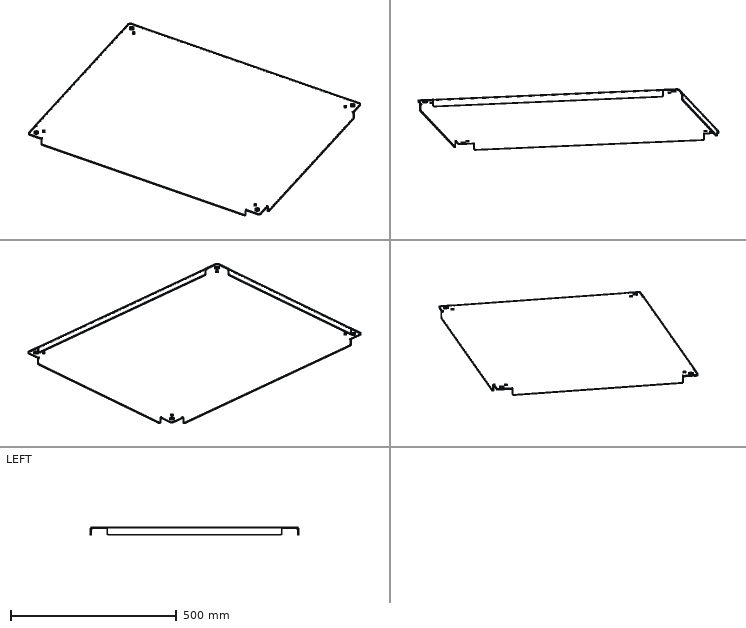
import cadquery as cq

LENGTH_X = 811.2125
WIDTH_Y = 630.2375
HEIGHT = 22.225

THICKNESS = 3.038
BEND_INNER_RADIUS = 2.85
BEND_OUTER_RADIUS = BEND_INNER_RADIUS + THICKNESS

CORNER_INSET = THICKNESS
CORNER_RADIUS = 6.7

FLANGE_END_GAP = 50.6
FLANGE_CORNER_CHAMFER = 3.0

MOUNTING_HOLE_DIAMETER = 12.7
MOUNTING_HOLE_OFFSET = 21.43
SMALL_HOLE_DIAMETER = 7.14
SMALL_HOLE_OFFSET = 38.1


def make_plate():
    """Flat sheet with rounded corners; its top face is at Z = 0."""
    return (
        cq.Workplane("XY")
        .rect(LENGTH_X - 2 * CORNER_INSET, WIDTH_Y - 2 * CORNER_INSET)
        .extrude(-THICKNESS)
        .edges("|Z")
        .fillet(CORNER_RADIUS)
    )


def make_bend_space(length, face_distance):
    """Block over the bend on the +X side, from its tangent line outwards."""
    return (
        cq.Workplane("XY")
        .box(BEND_OUTER_RADIUS, length, HEIGHT, centered=(False, True, False))
        .translate((face_distance - BEND_OUTER_RADIUS, 0, -HEIGHT))
    )


def make_flange(length, face_distance):
    """Bend and downward flange on the +X side, outer face at X = face_distance."""
    tangent = face_distance - BEND_OUTER_RADIUS
    inner_face = face_distance - THICKNESS
    diagonal = 0.5 ** 0.5
    outer_mid = (
        tangent + BEND_OUTER_RADIUS * diagonal,
        -BEND_OUTER_RADIUS * (1 - diagonal),
    )
    inner_mid = (
        tangent + BEND_INNER_RADIUS * diagonal,
        -BEND_OUTER_RADIUS + BEND_INNER_RADIUS * diagonal,
    )
    return (
        cq.Workplane("XZ")
        .moveTo(tangent, 0)
        .threePointArc(outer_mid, (face_distance, -BEND_OUTER_RADIUS))
        .lineTo(face_distance, -HEIGHT)
        .lineTo(inner_face, -HEIGHT)
        .lineTo(inner_face, -BEND_OUTER_RADIUS)
        .threePointArc(inner_mid, (tangent, -THICKNESS))
        .close()
        .extrude(length / 2, both=True)
        .faces("<Z")
        .edges("|X")
        .chamfer(FLANGE_CORNER_CHAMFER)
    )


def add_flange_pair(panel, length, span, first_angle):
    """Replace two opposite plate edges by bends with flanges."""
    bend_space = make_bend_space(length, span / 2)
    flange = make_flange(length, span / 2)
    for angle in (first_angle, first_angle + 180):
        panel = panel.cut(bend_space.rotate((0, 0, 0), (0, 0, 1), angle))
        panel = panel.union(flange.rotate((0, 0, 0), (0, 0, 1), angle))
    return panel


def cut_corner_holes(panel, diameter, offset):
    """One through hole near each of the four corners."""
    holes = (
        cq.Workplane("XY")
        .rect(LENGTH_X - 2 * offset, WIDTH_Y - 2 * offset, forConstruction=True)
        .vertices()
        .circle(diameter / 2)
        .extrude(-THICKNESS)
    )
    return panel.cut(holes)


panel = make_plate()
panel = add_flange_pair(panel, WIDTH_Y - 2 * FLANGE_END_GAP, LENGTH_X, 0)
panel = add_flange_pair(panel, LENGTH_X - 2 * FLANGE_END_GAP, WIDTH_Y, 90)
panel = cut_corner_holes(panel, MOUNTING_HOLE_DIAMETER, MOUNTING_HOLE_OFFSET)
panel = cut_corner_holes(panel, SMALL_HOLE_DIAMETER, SMALL_HOLE_OFFSET)

result = panel.translate((0, 0, HEIGHT / 2))